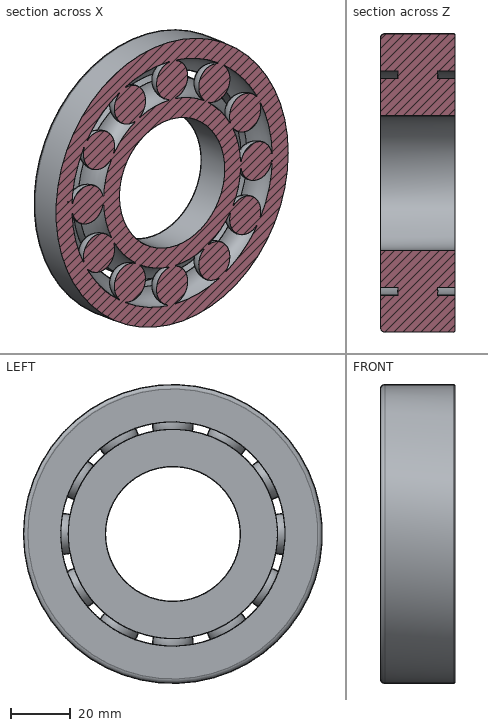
import cadquery as cq
import math

outer_diameter = 100.0
bore_diameter = 45.0
width = 25.0
front_round = 1.5
back_round = 0.6

pitch_radius = (outer_diameter + bore_diameter) / 4
ring_gap = 2.5
inner_ring_radius = pitch_radius - ring_gap / 2
outer_ring_radius = pitch_radius + ring_gap / 2

ball_count = 12
ball_radius = 6.8
ball_overlap = 0.1
groove_radius = ball_radius - ball_overlap


def make_ring(inner_radius, outer_radius):
    """Plain ring centred on the origin, around the X axis."""
    return (
        cq.Workplane("YZ", origin=(-width / 2, 0, 0))
        .circle(outer_radius)
        .circle(inner_radius)
        .extrude(width)
    )


def make_raceway():
    """Circular channel in which the balls run."""
    return (
        cq.Workplane("XY")
        .center(0, pitch_radius)
        .circle(groove_radius)
        .revolve(360, (0, -pitch_radius, 0), (1, -pitch_radius, 0))
    )


def make_ball(angle):
    """Ball at an angle around X, with its poles in the radial direction."""
    y = pitch_radius * math.cos(angle)
    z = pitch_radius * math.sin(angle)
    center = cq.Vector(0, y, z)
    return cq.Workplane(cq.Solid.makeSphere(ball_radius, center, center, -90, 90, 360))


raceway = make_raceway()
inner_ring = make_ring(bore_diameter / 2, inner_ring_radius).cut(raceway)
outer_ring = make_ring(outer_ring_radius, outer_diameter / 2)
outer_rim = cq.selectors.RadiusNthSelector(-1)
outer_ring = outer_ring.faces("<X").edges(outer_rim).fillet(front_round)
outer_ring = outer_ring.faces(">X").edges(outer_rim).fillet(back_round)
outer_ring = outer_ring.cut(raceway)

result = inner_ring.union(outer_ring)
for index in range(ball_count):
    result = result.union(make_ball(2 * math.pi * index / ball_count))